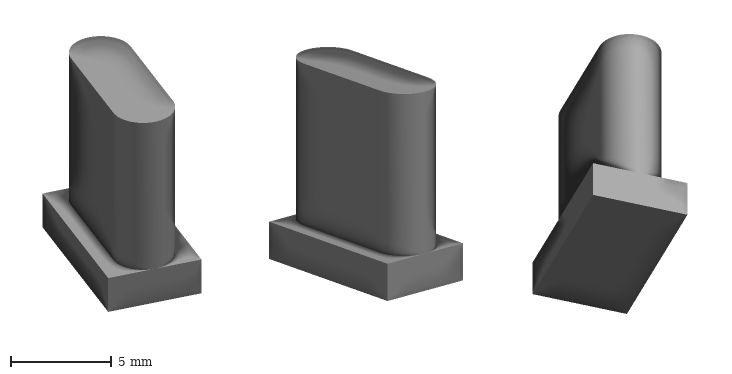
import cadquery as cq

length = 8.95
base_width = 5.0
total_height = 10.45

base_height = 1.95
post_width = 3.2
post_height = total_height - base_height

base = cq.Workplane("XY").box(length, base_width, base_height, centered=(True, True, False))

post = (
    cq.Workplane("XY")
    .workplane(offset=base_height)
    .slot2D(length, post_width)
    .extrude(post_height)
)

result = base.union(post)